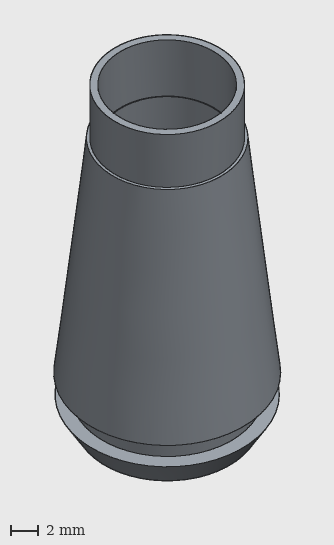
import cadquery as cq

total_height = 32.0
spigot_length = 5.02
groove_bottom = 2.53
groove_top = 4.65
shoulder_height = total_height - spigot_length

spigot_diameter = 11.25
shoulder_diameter = 11.75
body_diameter = 16.5
groove_diameter = 14.0
lip_diameter = 16.32
base_diameter = 13.5

mouth_diameter = 10.08
bore_diameter = 9.95
mouth_depth = 5.35


def outer_body():
    """Revolve the outside: tapered lip, groove, conical body and spigot."""
    profile = [
        (0, 0),
        (base_diameter / 2, 0),
        (lip_diameter / 2, groove_bottom),
        (groove_diameter / 2, groove_bottom),
        (groove_diameter / 2, groove_top),
        (body_diameter / 2, groove_top),
        (shoulder_diameter / 2, shoulder_height),
        (spigot_diameter / 2, shoulder_height),
        (spigot_diameter / 2, total_height),
        (0, total_height),
    ]
    return cq.Workplane("XZ").polyline(profile).close().revolve(360, (0, 0, 0), (0, 1, 0))


def through_bore():
    """Stepped bore: wider at the spigot end, narrower down to the base."""
    narrow = cq.Workplane("XY").circle(bore_diameter / 2).extrude(total_height)
    mouth = (
        cq.Workplane("XY")
        .workplane(offset=total_height - mouth_depth)
        .circle(mouth_diameter / 2)
        .extrude(mouth_depth)
    )
    return narrow.union(mouth)


result = outer_body().cut(through_bore())